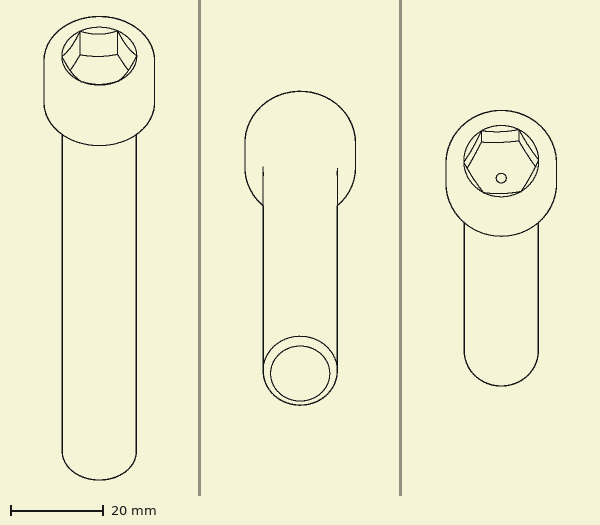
import cadquery as cq
import math

total_length = 136.0
head_diameter = 24.0
shank_diameter = 16.0
head_height = shank_diameter
head_top_fillet = 1.6
head_bottom_fillet = 0.3
neck_fillet = 0.5
tip_chamfer = 1.6

socket_width = 14.0
socket_depth = 8.0
mouth_diameter = 16.2
mouth_angle = 90.0
floor_flat_diameter = 2.2
floor_angle = 120.0

shank_length = total_length - head_height
socket_corner_diameter = socket_width / math.cos(math.radians(30))


def make_blank():
    """Solid head and shank, revolved from a half profile in the XZ plane."""
    head_radius = head_diameter / 2
    shank_radius = shank_diameter / 2
    tip_radius = shank_radius - tip_chamfer
    fillet_middle = math.sqrt(0.5)
    top_center = (head_radius - head_top_fillet, head_height - head_top_fillet)
    bottom_center = (head_radius - head_bottom_fillet, head_bottom_fillet)
    neck_center = (shank_radius + neck_fillet, -neck_fillet)

    def arc_point(center, radius, x_sign, z_sign):
        offset = radius * fillet_middle
        return (center[0] + x_sign * offset, center[1] + z_sign * offset)

    return (
        cq.Workplane("XZ")
        .moveTo(0, -shank_length)
        .lineTo(tip_radius, -shank_length)
        .lineTo(shank_radius, tip_chamfer - shank_length)
        .lineTo(shank_radius, -neck_fillet)
        .threePointArc(arc_point(neck_center, neck_fillet, -1, 1), (neck_center[0], 0))
        .lineTo(bottom_center[0], 0)
        .threePointArc(
            arc_point(bottom_center, head_bottom_fillet, 1, -1),
            (head_radius, head_bottom_fillet),
        )
        .lineTo(head_radius, top_center[1])
        .threePointArc(
            arc_point(top_center, head_top_fillet, 1, 1),
            (top_center[0], head_height),
        )
        .lineTo(0, head_height)
        .close()
        .revolve(360, (0, 0, 0), (0, 1, 0))
    )


def make_cone(top_z, top_diameter, bottom_diameter, included_angle):
    """Cone frustum that narrows downward from top_z."""
    radius_change = (top_diameter - bottom_diameter) / 2
    depth = radius_change / math.tan(math.radians(included_angle / 2))
    return (
        cq.Workplane("XY")
        .workplane(offset=top_z)
        .circle(top_diameter / 2)
        .workplane(offset=-depth)
        .circle(bottom_diameter / 2)
        .loft()
    )


def make_socket():
    floor_z = head_height - socket_depth
    hexagon = (
        cq.Workplane("XY")
        .workplane(offset=floor_z)
        .polygon(6, socket_corner_diameter)
        .extrude(socket_depth)
    )
    floor_cone = make_cone(
        floor_z, socket_corner_diameter, floor_flat_diameter, floor_angle
    )
    hexagon_below = hexagon.translate((0, 0, -socket_depth))
    floor = floor_cone.intersect(hexagon_below)
    mouth = make_cone(head_height, mouth_diameter, socket_width, mouth_angle)
    return hexagon.union(floor).union(mouth)


result = make_blank().cut(make_socket())